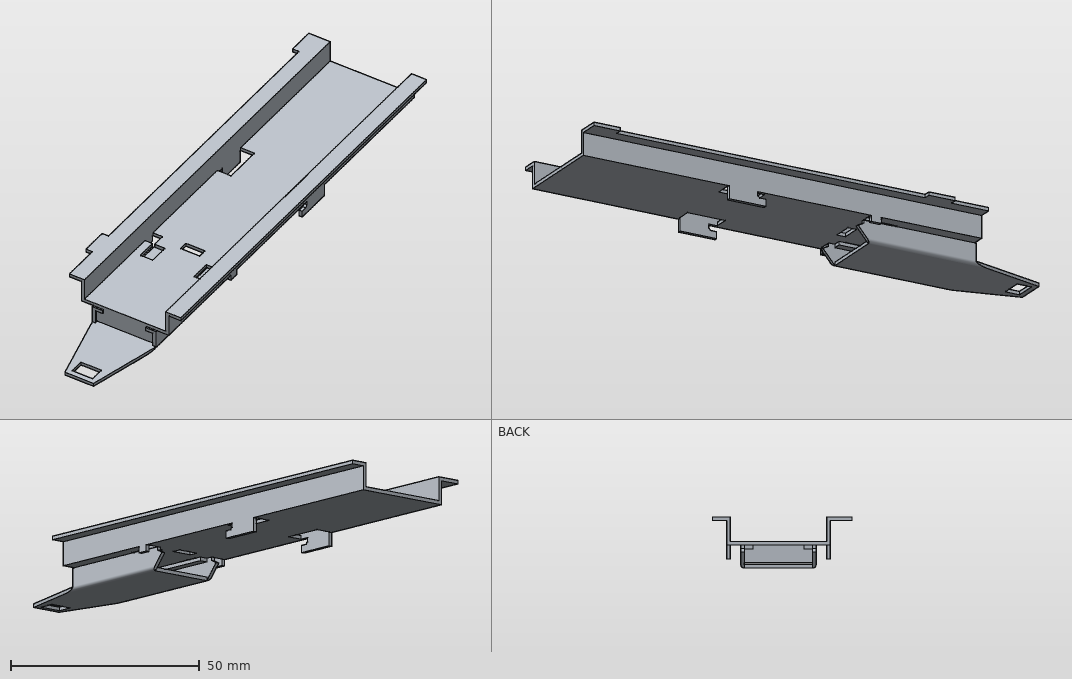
import cadquery as cq

sheet = 1.0
overall_height = 13.6
overall_length = 143.61
carrier_height = 7.5

tongue_reach = 22.6
carrier_length = overall_length - tongue_reach
carrier_width = 35.0
channel_width = 25.5
wall_outer_half = channel_width / 2 + sheet
stop_tab_reach = 2.0
stop_tab_length = 8.0
stop_tab_starts = (11.3, carrier_length - stop_tab_length)

hook_start = 65.6
hook_length = 11.1
hook_depth = 3.7
hook_undercut_z = -1.7
hook_undercut_length = 2.4
hook_undercut_relief = 0.6
hook_window_width = 4.3
hook_end_clearance = 0.2

guide_window_start = 29.8
guide_window_length = 3.9
guide_window_width = 3.0
guide_start = 30.5
guide_length = 3.0
guide_depth = 1.7

lip_window_inner = 6.5
lip_window_outer = 10.4
lip_window_length = 6.0
tool_slot_width = 6.0
tool_slot_start = 32.0
tool_slot_length = 2.6

slider_width = 20.0
slider_front = -0.5
slider_depth = overall_height - carrier_height
slider_lip_inner = 6.7
slider_bend_radius = sheet
end_wall_clearance = 0.4
latch_shoulder_y = 33.7
latch_shoulder_z = -0.9
latch_tip_y = 35.5
latch_tip_z = -1.8
latch_bottom_y = 31.8

tongue_tip_width = 9.0
tongue_hole_width = 6.4
tongue_hole_length = 4.3
tongue_hole_margin = 1.6


def box(x0, x1, y0, y1, z0, z1):
    """Box between opposite corners."""
    return cq.Workplane("XY").box(x1 - x0, y1 - y0, z1 - z0, centered=False).translate((x0, y0, z0))


def both_sides(body):
    """Body together with its mirror image across X = 0."""
    return body.union(body.mirror("YZ"))


def side_plate(points, x0, thickness):
    """Plate with a (Y, Z) outline, reaching from x0 toward +X."""
    return cq.Workplane("YZ").polyline(points).close().extrude(thickness).translate((x0, 0, 0))


def make_carrier():
    web = box(-wall_outer_half, wall_outer_half, 0, carrier_length, 0, sheet)
    wall = box(channel_width / 2, wall_outer_half, 0, carrier_length, 0, carrier_height)
    flange_z = carrier_height - sheet
    flange = box(channel_width / 2, carrier_width / 2, 0, carrier_length, flange_z, carrier_height)
    carrier = web.union(both_sides(wall.union(flange)))
    edge = -carrier_width / 2
    for start in stop_tab_starts:
        end = start + stop_tab_length
        tab = box(edge - stop_tab_reach, edge + sheet, start, end, flange_z, carrier_height)
        carrier = carrier.union(tab)
    return carrier


def cut_web_openings(carrier):
    channel_half = channel_width / 2
    hook_window = box(
        channel_half - hook_window_width, channel_half,
        hook_start - hook_end_clearance, hook_start + hook_length + hook_end_clearance, 0, sheet,
    )
    guide_window = box(
        channel_half - guide_window_width, channel_half,
        guide_window_start, guide_window_start + guide_window_length, 0, sheet,
    )
    lip_window = box(
        lip_window_inner, lip_window_outer,
        guide_window_start - lip_window_length, guide_window_start, 0, sheet,
    )
    tool_slot = box(
        -tool_slot_width / 2, tool_slot_width / 2,
        tool_slot_start, tool_slot_start + tool_slot_length, 0, sheet,
    )
    for window in (hook_window, guide_window, lip_window):
        carrier = carrier.cut(both_sides(window))
    return carrier.cut(tool_slot)


def make_hooks():
    hook_end = hook_start + hook_length
    neck_y = hook_start + hook_undercut_length
    outline = [
        (hook_start, -hook_depth),
        (hook_end, -hook_depth),
        (hook_end, 0),
        (neck_y, 0),
        (neck_y, hook_undercut_z + hook_undercut_relief),
        (neck_y - hook_undercut_relief, hook_undercut_z),
        (hook_start, hook_undercut_z),
    ]
    return both_sides(side_plate(outline, channel_width / 2, sheet))


def make_guides():
    guide_end = guide_start + guide_length
    return both_sides(box(channel_width / 2, wall_outer_half, guide_start, guide_end, -guide_depth, 0))


def make_slider():
    half = slider_width / 2
    outline = [
        (slider_front, -slider_depth),
        (latch_bottom_y, -slider_depth),
        (latch_tip_y, latch_tip_z),
        (latch_shoulder_y, latch_shoulder_z),
        (latch_shoulder_y, 0),
        (slider_front, 0),
    ]
    inner_half = half - sheet
    floor_z = sheet - slider_depth
    slider = side_plate(outline, -half, slider_width)
    slider = slider.cut(box(-inner_half, inner_half, slider_front, latch_tip_y, floor_z, -sheet))
    slider = slider.cut(box(-slider_lip_inner, slider_lip_inner, slider_front, latch_tip_y, -sheet, 0))
    slider = slider.cut(box(-inner_half, inner_half, latch_bottom_y, latch_tip_y, -slider_depth, 0))
    end_wall = box(-inner_half, inner_half, 0, sheet, floor_z + end_wall_clearance, 0)
    return slider.union(end_wall)


def make_tongue():
    base_half = slider_width / 2
    tip_half = tongue_tip_width / 2
    hole_y = tongue_hole_margin + tongue_hole_length / 2 - tongue_reach
    return (
        cq.Workplane("XY", origin=(0, 0, -slider_depth))
        .polyline([
            (-base_half, slider_front), (-tip_half, -tongue_reach),
            (tip_half, -tongue_reach), (base_half, slider_front),
        ])
        .close()
        .extrude(sheet)
        .cut(cq.Workplane("XY", origin=(0, hole_y, -slider_depth))
             .rect(tongue_hole_width, tongue_hole_length).extrude(sheet))
    )


def round_slider_bends(body):
    """Round the lower outer edges of the slider, running out through the tapering tongue."""
    half = slider_width / 2
    radius = slider_bend_radius
    corner = box(half - radius, half, -tongue_reach, latch_tip_y, -slider_depth, radius - slider_depth)
    bend = (
        cq.Workplane("XZ", origin=(half - radius, latch_tip_y, radius - slider_depth))
        .circle(radius)
        .extrude(latch_tip_y + tongue_reach)
    )
    return body.cut(both_sides(corner.cut(bend)))


carrier = cut_web_openings(make_carrier())
latch = round_slider_bends(make_slider().union(make_tongue()))
result = carrier.union(make_hooks()).union(make_guides()).union(latch)